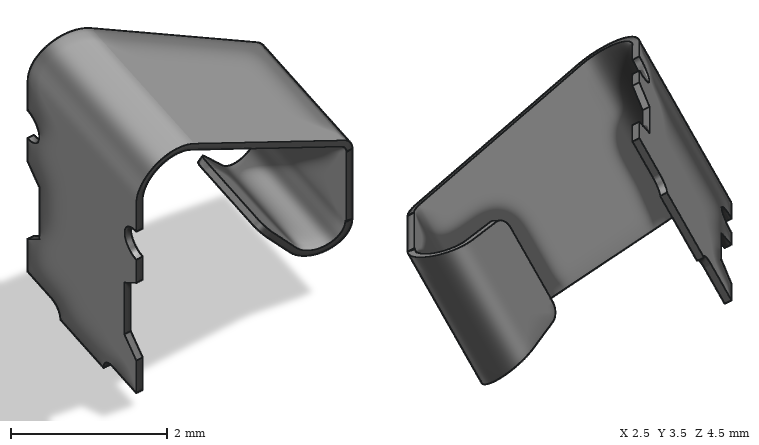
import cadquery as cq
import math

thickness = 0.1
depth = 3.5
height = 4.5
front_width = 2.5
back_width = 2.0

top_radius = 0.6
rear_radius = 0.3
hook_radius = 0.47
roof_angle = math.radians(34)
lip_angle = math.radians(54)
hook_bottom = 0.68
lip_length = 0.71
lip_width = 1.5
lip_corner_radius = 0.2

tab_width = 1.0
tab_height = 0.22
tab_relief_radius = 0.2
waist_width = 1.95
waist_bottom = 1.1
waist_top = 2.1
waist_flare_height = 0.25
notch_radius = 0.27
notch_height = 3.07

top_centre = (top_radius, height - top_radius)
rear_y = depth - rear_radius
rear_drop = (
    (rear_y - top_radius) * math.tan(roof_angle)
    - (top_radius - rear_radius) / math.cos(roof_angle)
)
rear_centre = (rear_y, top_centre[1] - rear_drop)
hook_centre = (depth - hook_radius, hook_bottom + hook_radius)

roof_normal = math.pi / 2 - roof_angle
lip_normal = -math.pi / 2 - lip_angle
lip_direction = (-math.cos(lip_angle), math.sin(lip_angle))


def on_circle(centre, radius, angle):
    """Point (Y, Z) on a circle at an angle measured from +Y."""
    return (centre[0] + radius * math.cos(angle), centre[1] + radius * math.sin(angle))


def lip_end(inset):
    """Free end of the hook lip on the strip face that lies inset below the outer one."""
    start = on_circle(hook_centre, hook_radius - inset, lip_normal)
    return (start[0] + lip_length * lip_direction[0], start[1] + lip_length * lip_direction[1])


def strip_bends(inset):
    """Start, middle and end of each bend, in order from the front plate to the hook."""
    bends = [
        (top_centre, top_radius, math.pi, roof_normal),
        (rear_centre, rear_radius, roof_normal, 0),
        (hook_centre, hook_radius, 0, lip_normal),
    ]
    return [
        [on_circle(centre, radius - inset, angle) for angle in (first, (first + last) / 2, last)]
        for centre, radius, first, last in bends
    ]


def bent_strip():
    """Full-width strip: the bent profile extruded along X."""
    profile = cq.Workplane("YZ").moveTo(0, 0)
    for start, middle, end in strip_bends(0):
        profile = profile.lineTo(*start).threePointArc(middle, end)
    profile = profile.lineTo(*lip_end(0)).lineTo(*lip_end(thickness))
    for start, middle, end in reversed(strip_bends(thickness)):
        profile = profile.lineTo(*end).threePointArc(middle, start)
    return profile.lineTo(thickness, 0).close().extrude(front_width / 2, both=True)


def plan_outline():
    """Vertical prism: full width across the front plate, then tapering to the back."""
    front = front_width / 2
    back = back_width / 2
    outline = [
        (-front, 0),
        (front, 0),
        (front, thickness),
        (back, depth),
        (-back, depth),
        (-front, thickness),
    ]
    return cq.Workplane("XY").polyline(outline).close().extrude(height)


def hook_side_trim(side):
    """Prism that keeps one side of the back plate straight and tapers the hook."""
    edge = side * front_width / 2
    back = side * back_width / 2
    lip = side * lip_width / 2
    lip_tip_y = lip_end(0)[0]
    outline = [
        (edge, depth),
        (back, depth),
        (lip, lip_tip_y),
        (edge, lip_tip_y),
    ]
    taper = cq.Workplane("XY").polyline(outline).close().extrude(rear_centre[1])
    straight_plate = (
        cq.Workplane("XY", origin=(0, depth - thickness / 2, hook_centre[1]))
        .rect(back_width, thickness)
        .extrude(rear_centre[1] - hook_centre[1])
    )
    return taper.cut(straight_plate)


def front_plate_cutter(side):
    """Edge notch, waist and tab relief on one side of the front plate."""
    edge = side * front_width / 2
    waist = side * waist_width / 2
    tab = side * tab_width / 2
    relief_end = tab + side * tab_relief_radius
    relief_low = tab_height - tab_relief_radius
    relief_sweep = math.sqrt(0.5) * tab_relief_radius

    plane = cq.Workplane("XZ")
    notch = plane.center(edge, notch_height).circle(notch_radius).extrude(-thickness)
    waist_cut = (
        plane.moveTo(edge, waist_bottom - waist_flare_height)
        .lineTo(waist, waist_bottom)
        .lineTo(waist, waist_top)
        .lineTo(edge, waist_top + waist_flare_height)
        .close()
        .extrude(-thickness)
    )
    relief = (
        plane.moveTo(tab, 0)
        .lineTo(tab, relief_low)
        .threePointArc(
            (relief_end - side * relief_sweep, relief_low + relief_sweep),
            (relief_end, tab_height),
        )
        .lineTo(edge, tab_height)
        .lineTo(edge, 0)
        .close()
        .extrude(-thickness)
    )
    return notch.union(waist_cut).union(relief)


def round_lip_corners(body):
    """Round the two corners at the free end of the hook."""
    outer = lip_end(0)
    inner = lip_end(thickness)
    middle_y = (outer[0] + inner[0]) / 2
    middle_z = (outer[1] + inner[1]) / 2
    for side in (-1, 1):
        corner = (side * lip_width / 2, middle_y, middle_z)
        body = body.edges(cq.selectors.NearestToPointSelector(corner)).fillet(lip_corner_radius)
    return body


result = bent_strip().intersect(plan_outline())
for side in (-1, 1):
    result = result.cut(hook_side_trim(side))
    result = result.cut(front_plate_cutter(side))
result = round_lip_corners(result)